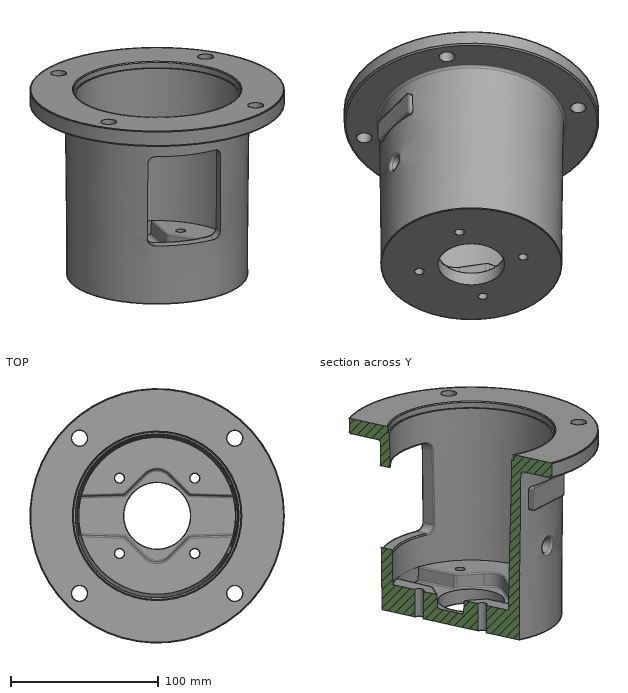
import cadquery as cq

total_height = 133.4
flange_diameter = 173.0
flange_thickness = 11.2
flange_top_chamfer = 0.5
flange_bottom_chamfer = 1.0
flange_bottom_z = total_height - flange_thickness

body_top_radius = 62.8
body_bottom_radius = 61.5
body_bottom_chamfer = 0.5
neck_fillet = 1.7

pilot_radius = 56.9
pilot_chamfer = 0.7
pilot_depth = 4.5
bore_top_radius = 55.7
bore_floor_radius = 53.3
pad_floor_z = 20.0

flange_hole_diameter = 10.7
flange_hole_spacing = 105.5

shaft_hole_diameter = 45.3
mount_hole_diameter = 6.5
mount_hole_spacing = 51.2
recess_floor_z = pad_floor_z / 2
recess_knee_half_width = 13.8
recess_end_half_width = 12.8
recess_diamond_reach = 35.8
recess_tip_radius = 11.2
recess_knee_radius = 3.5
recess_draft = 3.0
recess_edge_fillet = 0.9
pad_root_depth = 1.7

window_half_width = 26.1
window_bottom_z = 42.2
window_top_z = 106.7
window_corner_radius = 5.2
window_inner_fillet = 0.9

side_hole_inner_radius = 4.8
side_hole_outer_radius = 5.5
side_hole_z = 62.0
side_hole_fillet = 1.7

rim_margin = 0.2

plate_width = 39.3
plate_height = 17.0
plate_top_z = 109.5
plate_face_x = -63.0
plate_corner_radius = 2.2
plate_edge_fillet = 0.7
plate_root_depth = 4.2


def make_shell():
    """Flanged tube with a plain floor at the recess depth, revolved about Z."""
    flange_radius = flange_diameter / 2
    step_z = total_height - pilot_depth
    profile = (
        cq.Workplane("XZ")
        .lineTo(body_bottom_radius - body_bottom_chamfer, 0)
        .lineTo(body_bottom_radius, body_bottom_chamfer)
        .lineTo(body_top_radius, flange_bottom_z - neck_fillet)
        .radiusArc((body_top_radius + neck_fillet, flange_bottom_z), neck_fillet)
        .lineTo(flange_radius - flange_bottom_chamfer, flange_bottom_z)
        .lineTo(flange_radius, flange_bottom_z + flange_bottom_chamfer)
        .lineTo(flange_radius, total_height - flange_top_chamfer)
        .lineTo(flange_radius - flange_top_chamfer, total_height)
        .lineTo(pilot_radius + pilot_chamfer, total_height)
        .lineTo(pilot_radius, total_height - pilot_chamfer)
        .lineTo(pilot_radius, step_z)
        .lineTo(bore_top_radius, step_z)
        .lineTo(bore_floor_radius, pad_floor_z)
        .lineTo(bore_floor_radius, recess_floor_z)
        .lineTo(0, recess_floor_z)
        .close()
    )
    return profile.revolve(360, (0, 0, 0), (0, 1, 0))


def make_recess():
    """Cross channel along X with a rounded diamond around the shaft hole."""
    end_x = bore_floor_radius + 2 * pad_root_depth
    knee_x = recess_diamond_reach - recess_knee_half_width
    tip_y = recess_diamond_reach
    outline = [
        (end_x, -recess_end_half_width),
        (end_x, recess_end_half_width),
        (knee_x, recess_knee_half_width),
        (0, tip_y),
        (-knee_x, recess_knee_half_width),
        (-end_x, recess_end_half_width),
        (-end_x, -recess_end_half_width),
        (-knee_x, -recess_knee_half_width),
        (0, -tip_y),
        (knee_x, -recess_knee_half_width),
    ]
    depth = pad_floor_z - recess_floor_z
    prism = cq.Workplane("XY").workplane(offset=recess_floor_z).polyline(outline).close().extrude(depth)
    for side in (1, -1):
        tip = cq.selectors.NearestToPointSelector((0, side * tip_y, recess_floor_z + depth / 2))
        prism = prism.edges(tip).fillet(recess_tip_radius)
    for x in (knee_x, -knee_x):
        for y in (recess_knee_half_width, -recess_knee_half_width):
            knee = cq.selectors.NearestToPointSelector((x, y, recess_floor_z + depth / 2))
            prism = prism.edges(knee).fillet(recess_knee_radius)
    return prism.faces("<Z").wires().toPending().extrude(depth, taper=-recess_draft)


def make_pads():
    """Mounting pads either side of the recess, their root buried in the wall and floor."""
    pad_radius = bore_floor_radius + pad_root_depth
    block = (
        cq.Workplane("XY")
        .workplane(offset=recess_floor_z - pad_root_depth)
        .rect(2 * pad_radius, 2 * pad_radius)
        .extrude(pad_floor_z - recess_floor_z + pad_root_depth)
        .cut(make_recess())
    )
    rims = cq.selectors.BoxSelector(
        (-pad_radius, -recess_diamond_reach, recess_floor_z - rim_margin),
        (pad_radius, recess_diamond_reach, pad_floor_z + rim_margin),
    )
    block = block.edges(rims).edges("#Z").edges("not |Y").fillet(recess_edge_fillet)
    return block.intersect(cq.Workplane("XY").circle(pad_radius).extrude(total_height))


def make_window():
    """Rounded rectangular opening crossing the +X wall."""
    return (
        cq.Workplane("YZ")
        .center(0, (window_bottom_z + window_top_z) / 2)
        .rect(2 * window_half_width, window_top_z - window_bottom_z)
        .extrude(flange_diameter / 2)
        .edges("|X")
        .fillet(window_corner_radius)
    )


def make_name_plate():
    """Flat raised pad with rounded corners, its root buried in the wall."""
    return (
        cq.Workplane("YZ", origin=(plate_face_x, 0, plate_top_z - plate_height / 2))
        .rect(plate_width, plate_height)
        .extrude(plate_root_depth)
        .edges("|X")
        .fillet(plate_corner_radius)
        .faces("<X")
        .edges()
        .fillet(plate_edge_fillet)
    )


def make_square_hole_pattern(diameter, spacing, bottom_z):
    """Four upright cylinders on the corners of a square."""
    return (
        cq.Workplane("XY")
        .workplane(offset=bottom_z)
        .rect(spacing, spacing, forConstruction=True)
        .vertices()
        .circle(diameter / 2)
        .extrude(total_height)
    )


result = make_shell().union(make_pads())

result = result.cut(make_window())
window_inner_rim = cq.selectors.BoxSelector(
    (window_half_width, -window_half_width - rim_margin, window_bottom_z - rim_margin),
    (bore_top_radius, window_half_width + rim_margin, window_top_z + rim_margin),
)
result = result.edges(window_inner_rim).edges("not %LINE").fillet(window_inner_fillet)

side_hole = cq.Solid.makeCone(
    side_hole_outer_radius,
    side_hole_inner_radius,
    body_top_radius - bore_floor_radius,
    cq.Vector(-body_top_radius, 0, side_hole_z),
    cq.Vector(1, 0, 0),
)
result = result.cut(cq.Workplane(side_hole))
hole_mouth = cq.selectors.NearestToPointSelector((-body_top_radius, 0, side_hole_z))
result = result.edges(hole_mouth).fillet(side_hole_fillet)

result = result.union(make_name_plate())

result = result.cut(cq.Workplane("XY").circle(shaft_hole_diameter / 2).extrude(pad_floor_z))
result = result.cut(make_square_hole_pattern(mount_hole_diameter, mount_hole_spacing, 0))
result = result.cut(make_square_hole_pattern(flange_hole_diameter, flange_hole_spacing, flange_bottom_z))